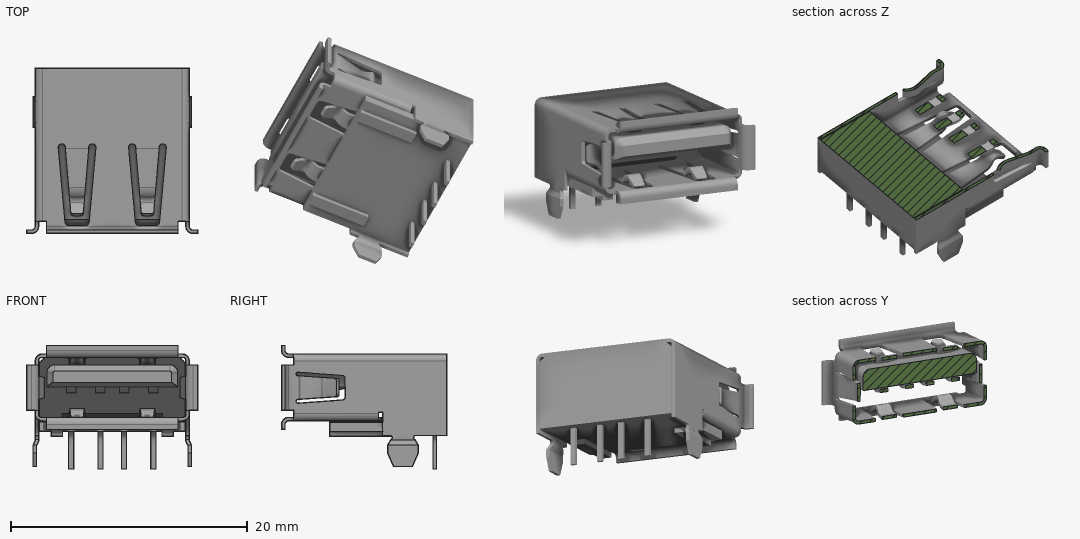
import cadquery as cq
import math


sheet = 0.3
shell_half_width = 6.52
shell_height = 5.67
shell_depth = 14.0
shell_front = 1.02
outer_corner = 2 * sheet
inner_corner = 0.23
mid_height = shell_height / 2
inner_half_width = shell_half_width - sheet
roof = shell_height - sheet
floor_top = sheet

rear_wall_front = 8.57
rear_wall_bottom = -1.25
floor_back = 8.45
relief_front = 8.22
relief_top = 0.71

lip_half_width = 5.58
lip_reach = 0.72
side_lip_bottom = 0.88
side_lip_top = 4.74

finger_spacing = 5.96
finger_root = 7.2
finger_plan_end = 1.3
finger_root_half = 0.99
finger_tip_half = 0.5
finger_tip_corner = 0.25
window_front = 0.67
window_root_half = 1.6
window_front_half = 1.0
window_corner = 0.36
slot_end_y = 7.28
finger_lean = 1.5
finger_dip = 60.0
finger_rise = 34.0

side_finger_height = 2.81
side_root = 1.48
side_plan_end = 5.22
side_root_half = 1.0
side_tip_half = 0.74
side_tip_corner = 0.26
side_window_back = 5.4
side_window_root_half = 1.3
side_window_back_half = 1.02
side_window_corner = 0.26
side_slot_end_y = 1.39
side_lean = 13.0
side_return = 45.0

lock_y = 10.28
lock_neck_half = 1.03
lock_neck_waist = 0.91
lock_half = 1.3
lock_tip_half = 0.8
lock_neck_end = -1.6
lock_bend_start = -1.64
lock_shoulder = -2.06
lock_taper_start = -2.73
lock_tip = -3.87
lock_offset = 0.19

body_half_width = 6.18
base_top = -0.12
base_bottom = -0.88
base_front = 4.07
body_chamfer = 0.46
recess_half_width = 4.23
recess_top = 0.61
recess_depth = 0.72
foot_inner = 4.2
foot_outer = 5.18
foot_bottom = -1.3
foot_back = 9.28

tongue_half_width = 5.54
tongue_bottom = 2.89
tongue_top = 4.74
tongue_corner = 0.67
tongue_front = 0.46
nose_back = 1.2
nose_half_width = 5.03
nose_bottom = 3.26
nose_top = 4.2
nose_corner = 0.15

contact_places = [-3.48, -1.0, 1.0, 3.48]
contact_width = 0.8
contact_root = (6.67, 3.19)
contact_lean = 12.0
contact_rise = 42.0
contact_thickness = 0.32
pin_width = 0.45
pin_front = 12.8
pin_bottom = -4.09


def block(x_range, y_range, z_range):
    """Box between two limits on each axis."""
    sizes = [high - low for low, high in (x_range, y_range, z_range)]
    corner = (x_range[0], y_range[0], z_range[0])
    return cq.Workplane("XY").box(*sizes, centered=False).translate(corner)


def both_sides(solid):
    return solid.union(solid.mirror("YZ"))


def above_and_below(solid):
    return solid.union(solid.mirror("XY", (0, 0, mid_height)))


def bent_strip(plane, start, heading, steps, thickness=sheet):
    """Outline of a bent strip, traced along its centre line.

    Each step is (length,) for a straight run or (angle, radius) for a bend.
    Angles are in degrees and positive to the left.
    """
    x, y = start
    direction = math.radians(heading)
    stations = [(x, y, direction)]
    bend_middles = []
    for step in steps:
        if len(step) == 1:
            x += step[0] * math.cos(direction)
            y += step[0] * math.sin(direction)
            bend_middles.append(None)
        else:
            turn = math.radians(step[0])
            radius = math.copysign(step[1], turn)
            centre_x = x - radius * math.sin(direction)
            centre_y = y + radius * math.cos(direction)
            arc = []
            for angle in (direction + turn / 2, direction + turn):
                arc.append((centre_x + radius * math.sin(angle), centre_y - radius * math.cos(angle), angle))
            bend_middles.append(arc[0])
            x, y, direction = arc[1]
        stations.append((x, y, direction))

    def edge(station, side):
        offset = side * thickness / 2
        return (station[0] - offset * math.sin(station[2]), station[1] + offset * math.cos(station[2]))

    def follow(outline, middle, end, side):
        if middle is None:
            return outline.lineTo(*edge(end, side))
        return outline.threePointArc(edge(middle, side), edge(end, side))

    outline = cq.Workplane(plane).moveTo(*edge(stations[0], 1))
    for middle, end in zip(bend_middles, stations[1:]):
        outline = follow(outline, middle, end, 1)
    outline = outline.lineTo(*edge(stations[-1], -1))
    for middle, end in zip(reversed(bend_middles), reversed(stations[:-1])):
        outline = follow(outline, middle, end, -1)
    return outline.close()


def tapered_prism(plane, root, tip, root_half, tip_half):
    """Trapezoid narrowing from root to tip, running right through the shell."""
    outline = [(-root_half, root), (-tip_half, tip), (tip_half, tip), (root_half, root)]
    return cq.Workplane(plane).polyline(outline).close().extrude(shell_depth, both=True)


def slot_ends(plane, along, window_half, finger_half):
    """Round ends of the two slots beside a finger."""
    radius = (window_half - finger_half) / 2
    across = (window_half + finger_half) / 2
    places = [(-across, along), (across, along)]
    return cq.Workplane(plane).pushPoints(places).circle(radius).extrude(shell_depth, both=True)


def make_shell():
    width = 2 * shell_half_width
    outside = block((-shell_half_width, shell_half_width), (shell_front, shell_depth), (0, shell_height))
    outside = outside.edges("|Y").fillet(outer_corner)
    inside = block((-inner_half_width, inner_half_width), (shell_front, shell_depth), (floor_top, roof))
    inside = inside.edges("|Y").fillet(inner_corner)
    shell = outside.cut(inside)

    shell = shell.cut(block((-width, width), (rear_wall_front, shell_depth), (0, mid_height)))
    rear_wall = block(
        (inner_half_width, shell_half_width), (rear_wall_front, shell_depth), (rear_wall_bottom, mid_height)
    )
    shell = shell.union(both_sides(rear_wall))
    shell = shell.cut(block((-width, width), (floor_back, rear_wall_front), (0, floor_top)))

    shell = shell.cut(block((-width, width), (relief_front, rear_wall_front), (floor_top, relief_top)))
    corner_relief = block(
        (shell_half_width - outer_corner, width), (relief_front, rear_wall_front), (0, relief_top)
    )
    return shell.cut(both_sides(corner_relief))


def make_lips():
    bend = outer_corner - sheet / 2
    run = shell_front - outer_corner
    rise = lip_reach - sheet
    top_start = (shell_front, shell_height - sheet / 2)
    top_lip = bent_strip("YZ", top_start, 180, [(run,), (-90, bend), (rise,)])
    top_lip = top_lip.extrude(lip_half_width, both=True)
    side_start = (shell_half_width - sheet / 2, shell_front)
    side_lip = bent_strip("XY", side_start, 270, [(run,), (90, bend), (rise,)])
    side_lip = side_lip.extrude(side_lip_top - side_lip_bottom).translate((0, 0, side_lip_bottom))
    return above_and_below(top_lip).union(both_sides(side_lip))


def make_finger_windows():
    """Openings through the top and the floor."""
    window = tapered_prism("XY", finger_root, window_front, window_root_half, window_front_half)
    window = window.edges("|Z").edges("<Y").fillet(window_corner)
    window = window.union(slot_ends("XY", slot_end_y, window_root_half, finger_root_half))
    return both_sides(window.translate((finger_spacing / 2, 0, 0)))


def make_fingers():
    """Fingers that dip into the shell and curl back out at their tips."""
    root_bend = 0.44
    dip_bend = 0.81
    rise_bend = 0.46
    flat_length = 3.3
    tip_length = 1.16
    steps = [
        (finger_lean, root_bend),
        (flat_length,),
        (finger_dip - finger_lean, dip_bend),
        (-finger_dip - finger_rise, rise_bend),
        (tip_length,),
    ]
    strip = bent_strip("YZ", (finger_root, shell_height - sheet / 2), 180, steps)
    strip = strip.extrude(finger_root_half, both=True)
    plan = tapered_prism("XY", finger_root, finger_plan_end, finger_root_half, finger_tip_half)
    finger = strip.intersect(plan).faces("<Y").edges("not |X").fillet(finger_tip_corner)
    finger = finger.translate((finger_spacing / 2, 0, 0))
    return above_and_below(both_sides(finger))


def make_side_windows():
    window = tapered_prism("ZY", side_root, side_window_back, side_window_root_half, side_window_back_half)
    window = window.edges("|X").edges(">Y").fillet(side_window_corner)
    window = window.union(slot_ends("ZY", side_slot_end_y, side_window_root_half, side_root_half))
    return window.translate((0, 0, side_finger_height))


def make_side_fingers():
    """Fingers rooted near the mouth that bow inwards."""
    root_bend = 0.17
    bow_bend = 1.46
    flat_length = 1.95
    steps = [(side_lean, root_bend), (flat_length,), (-side_lean - side_return, bow_bend)]
    strip = bent_strip("XY", (shell_half_width - sheet / 2, side_root), 90, steps)
    strip = strip.extrude(side_root_half, both=True)
    plan = tapered_prism("ZY", side_root, side_plan_end, side_root_half, side_tip_half)
    finger = strip.intersect(plan).faces(">Y").edges("not |Z").fillet(side_tip_corner)
    return both_sides(finger.translate((0, 0, side_finger_height)))


def make_board_locks():
    waist_z = (rear_wall_bottom + lock_neck_end) / 2
    half_blade = (
        cq.Workplane("YZ")
        .moveTo(0, rear_wall_bottom)
        .lineTo(lock_neck_half, rear_wall_bottom)
        .threePointArc((lock_neck_waist, waist_z), (lock_neck_half, lock_neck_end))
        .lineTo(lock_half, lock_shoulder)
        .lineTo(lock_half, lock_taper_start)
        .lineTo(lock_tip_half, lock_tip)
        .lineTo(0, lock_tip)
        .close()
        .extrude(shell_depth)
    )
    blade = half_blade.union(half_blade.mirror("XZ")).translate((0, lock_y, 0))

    step_angle = math.atan2(lock_offset, lock_bend_start - lock_shoulder)
    setback = sheet * math.tan(step_angle / 2)
    lower_face = shell_half_width + lock_offset
    outline = [
        (shell_half_width, rear_wall_bottom),
        (shell_half_width, lock_bend_start),
        (lower_face, lock_shoulder),
        (lower_face, lock_tip),
        (lower_face - sheet, lock_tip),
        (lower_face - sheet, lock_shoulder - setback),
        (inner_half_width, lock_bend_start - setback),
        (inner_half_width, rear_wall_bottom),
    ]
    bent_sheet = cq.Workplane("XZ").polyline(outline).close().extrude(-shell_depth)
    return both_sides(blade.intersect(bent_sheet))


def make_insulator():
    width_range = (-body_half_width, body_half_width)
    body = block(width_range, (rear_wall_front, shell_depth), (base_bottom, roof))
    body = body.edges("|Y and >Z").chamfer(body_chamfer)
    base = block(width_range, (base_front, rear_wall_front), (base_bottom, base_top))
    foot = block((foot_inner, foot_outer), (base_front, foot_back), (foot_bottom, base_bottom))
    recess_outline = [
        (rear_wall_front, recess_top),
        (rear_wall_front, 0),
        (rear_wall_front + recess_depth, 0),
    ]
    recess = cq.Workplane("YZ").polyline(recess_outline).close().extrude(recess_half_width, both=True)
    return body.cut(recess).union(base).union(both_sides(foot))


def tongue_section(y, half_width, bottom, top, corner):
    """Wire around the tongue at one depth, with its two upper corners rounded."""
    inset = corner * (1 - math.sqrt(0.5))
    return (
        cq.Workplane("XZ", origin=(0, y, 0))
        .moveTo(-half_width, bottom)
        .lineTo(half_width, bottom)
        .lineTo(half_width, top - corner)
        .threePointArc((half_width - inset, top - inset), (half_width - corner, top))
        .lineTo(corner - half_width, top)
        .threePointArc((inset - half_width, top - inset), (-half_width, top - corner))
        .close()
    )


def make_tongue():
    full_section = (tongue_half_width, tongue_bottom, tongue_top, tongue_corner)
    nose_section = (nose_half_width, nose_bottom, nose_top, nose_corner)
    bar = tongue_section(nose_back, *full_section).extrude(nose_back - rear_wall_front)
    nose = cq.Solid.makeLoft(
        [
            tongue_section(tongue_front, *nose_section).val(),
            tongue_section(nose_back, *full_section).val(),
        ],
        True,
    )
    return bar.union(cq.Workplane(nose))


def make_contacts():
    """Contacts bowed below the tongue, each with a solder pin at the back."""
    beam_length = 3.05
    beam_bend = 0.85
    return_length = 0.72
    steps = [(beam_length,), (-contact_lean - contact_rise, beam_bend), (return_length,)]
    beam = bent_strip("YZ", contact_root, 180 + contact_lean, steps, contact_thickness)
    beam = beam.extrude(contact_width / 2, both=True)
    pin = block(
        (-pin_width / 2, pin_width / 2),
        (pin_front, pin_front + contact_thickness),
        (pin_bottom, base_bottom),
    )
    contact = beam.union(pin)
    contacts = cq.Workplane("XY")
    for x in contact_places:
        contacts = contacts.add(contact.translate((x, 0, 0)))
    return contacts.combine()


shell = make_shell().union(make_lips())
shell = shell.cut(make_finger_windows()).cut(make_side_windows())
shell = shell.union(make_fingers()).union(make_side_fingers()).union(make_board_locks())

insulator = make_insulator().union(make_tongue()).union(make_contacts())
result = shell.union(insulator)